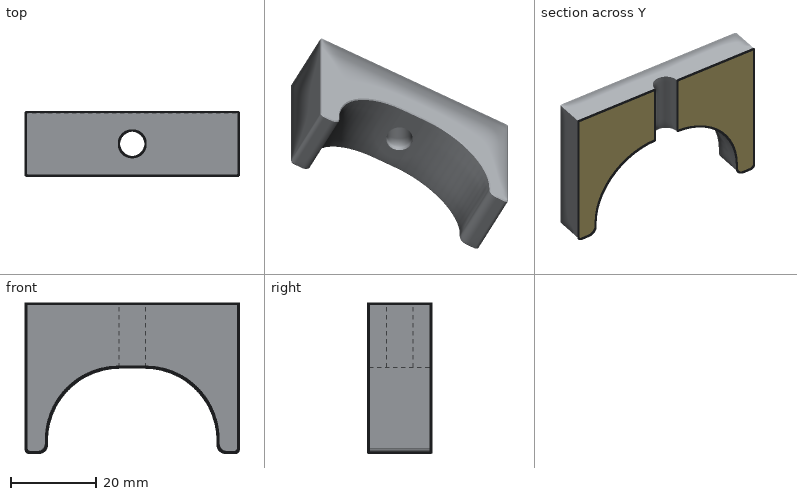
import cadquery as cq

length = 50.0
depth = 15.0
height = 35.0

leg_width = 5.0
arch_height = 20.0
shoulder_radius = 17.0

outer_foot_radius = 1.0
inner_foot_radius = 2.0
edge_chamfer = 0.25
hole_diameter = 6.2

half_length = length / 2
arch_half_width = half_length - leg_width
crown_half_width = arch_half_width - shoulder_radius
spring_height = arch_height - shoulder_radius


def make_block():
    """Full-size block with its base on Z = 0, rounded along the two lower outer edges."""
    block = cq.Workplane("XY").box(length, depth, height, centered=(True, True, False))
    return block.edges("|Y and <Z").fillet(outer_foot_radius)


def make_arch_cutter():
    """Arch-shaped prism passing through the whole depth."""
    return (
        cq.Workplane("XZ")
        .moveTo(-arch_half_width, 0)
        .lineTo(-arch_half_width, spring_height)
        .radiusArc((-crown_half_width, arch_height), shoulder_radius)
        .lineTo(crown_half_width, arch_height)
        .radiusArc((arch_half_width, spring_height), shoulder_radius)
        .lineTo(arch_half_width, 0)
        .close()
        .extrude(depth / 2, both=True)
    )


def round_inner_feet(body):
    """Round the edges where the arch walls meet the undersides of the legs."""
    for side in (-1, 1):
        edge_point = (side * arch_half_width, 0, 0)
        body = body.edges(cq.selectors.NearestToPointSelector(edge_point)).fillet(inner_foot_radius)
    return body


def chamfer_face_outlines(body):
    """Chamfer the front and back outlines, leaving the top edges sharp."""
    for face in ("<Y", ">Y"):
        body = body.faces(face).edges("not >Z").chamfer(edge_chamfer)
    return body


body = round_inner_feet(make_block().cut(make_arch_cutter()))
body = chamfer_face_outlines(body)
result = body.faces(">Z").workplane(origin=(0, 0, height)).hole(hole_diameter)